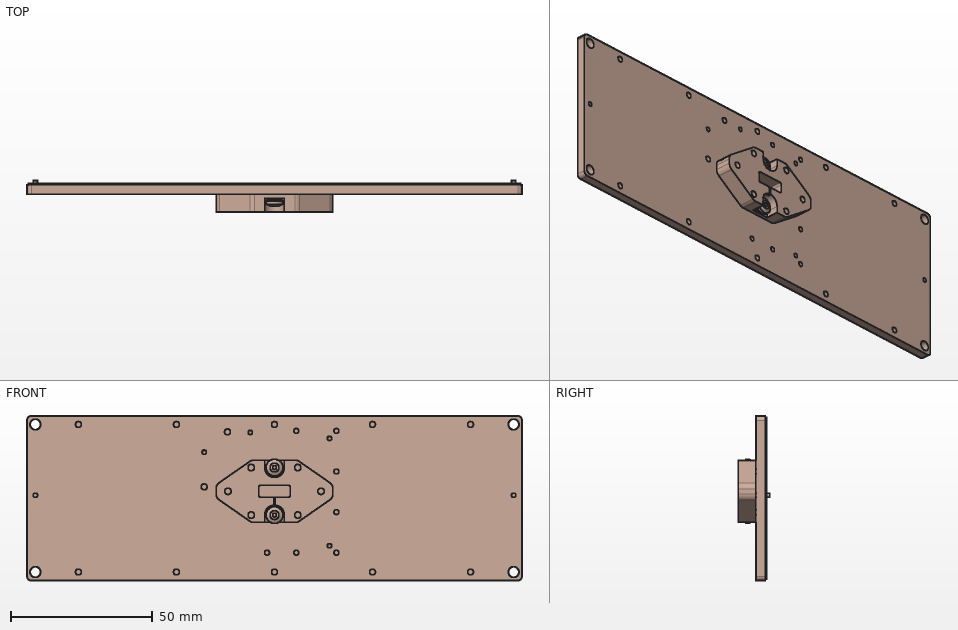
import cadquery as cq

PLATE_LENGTH = 175.3
PLATE_HEIGHT = 58.4
PLATE_THICKNESS = 3.9
PLATE_CORNER_RADIUS = 1.5
BACK_STEP = 0.5
BACK_STEP_INSET = 0.5

CORNER_HOLE_DIAMETER = 3.7
CORNER_HOLE_X = 84.7
HOLE_ROW_Z = 26.1
EDGE_HOLE_DIAMETER = 2.1
EDGE_HOLE_PITCH = 34.7
EDGE_HOLES_PER_ROW = 5
PLATE_HOLE_DEPTH = 2.6
LARGE_HOLE_DIAMETER = 2.1
LARGE_HOLES = [(-24.9, 4.0), (-16.6, 23.5)]
SMALL_HOLE_DIAMETER = 1.8
SMALL_HOLE_COLUMN_X = 21.9
SMALL_HOLE_INNER_X = 7.7
SMALL_HOLE_OUTER_X = -2.6
SMALL_HOLE_BOTTOM_Z = -19.3
SMALL_HOLE_PITCH = 14.4
SMALL_HOLES_PER_COLUMN = 4
SMALL_HOLE_COLUMN_Z = [SMALL_HOLE_BOTTOM_Z + i * SMALL_HOLE_PITCH for i in range(SMALL_HOLES_PER_COLUMN)]
SMALL_HOLES = [(SMALL_HOLE_COLUMN_X, z) for z in SMALL_HOLE_COLUMN_Z]
SMALL_HOLES += [(SMALL_HOLE_INNER_X, z) for z in (SMALL_HOLE_COLUMN_Z[0], SMALL_HOLE_COLUMN_Z[-1])]
SMALL_HOLES += [(SMALL_HOLE_OUTER_X, SMALL_HOLE_BOTTOM_Z)]
DOWEL_HOLE_DIAMETER = 1.5
DOWEL_HOLE_DEPTH = 1.8
DOWEL_HOLES = [(-24.9, 16.3), (-8.6, 23.3), (19.5, 21.2), (19.5, -16.8)]

PIN_DIAMETER = 1.5
PIN_PROJECTION = 1.0
PIN_Z = 1.0

FLANGE_CENTER_Z = 2.5
FLANGE_HEIGHT = 6.3
FLANGE_HALF_LENGTH = 20.7
FLANGE_HALF_WIDTH = 11.0
FLANGE_TOP_HALF_LENGTH = 8.0
FLANGE_END_HALF_WIDTH = 2.3
FLANGE_CORNER_RADIUS = 2.6
FLANGE_HOLE_DIAMETER = 2.3
FLANGE_HOLE_DEPTH = 4.4
FLANGE_HOLE_X = 8.2
FLANGE_END_HOLE_X = 16.5
FLANGE_HOLE_OFFSET_Z = 8.5

PORT_LENGTH = 11.2
PORT_WIDTH = 4.2
PORT_CORNER_RADIUS = 0.7
GROOVE_WIDTH = 0.7
GROOVE_DEPTH = 1.0

SLOT_WIDTH = 7.0
SLOT_FLOOR = 1.4
STUD_OFFSET_Z = 8.5
STUD_FOOT_RADIUS = 2.6
STUD_FOOT_HEIGHT = 0.5
STUD_RIM_RADIUS = 3.0
STUD_RIM_BOTTOM = 1.0
STUD_RIM_TOP = 2.1
STUD_TOP_RADIUS = 1.5
STUD_HEIGHT = 2.8
STUD_BORE_DIAMETER = 1.4
STUD_BORE_DEPTH = 1.4

SIDES = (-1, 1)


def front_plane(y, z=0.0):
    """Sketch plane at depth y that faces -Y, with sketch x along X and sketch y along Z."""
    return cq.Workplane("XZ", origin=(0, y, z))


def turn_along_y(profile):
    """Revolve a closed profile of (radius, y) points about the Y axis."""
    return cq.Workplane("XY").polyline(profile).close().revolve(360, (0, 0, 0), (0, 1, 0))


def drill(body, y, points, diameter, depth):
    """Cut round holes into the body from depth y toward +Y."""
    return body.cut(front_plane(y).pushPoints(points).circle(diameter / 2).extrude(-depth))


def make_plate():
    rim_thickness = PLATE_THICKNESS - BACK_STEP
    rim = front_plane(0).rect(PLATE_LENGTH, PLATE_HEIGHT).extrude(-rim_thickness)
    rim = rim.edges("|Y").fillet(PLATE_CORNER_RADIUS)
    inset = 2 * BACK_STEP_INSET
    step = front_plane(0).rect(PLATE_LENGTH - inset, PLATE_HEIGHT - inset).extrude(-PLATE_THICKNESS)
    step = step.edges("|Y").fillet(PLATE_CORNER_RADIUS - BACK_STEP_INSET)
    return rim.union(step)


def drill_plate(body):
    corners = [(sx * CORNER_HOLE_X, sz * HOLE_ROW_Z) for sx in SIDES for sz in SIDES]
    first = -(EDGE_HOLES_PER_ROW - 1) / 2
    edge_x = [(first + i) * EDGE_HOLE_PITCH for i in range(EDGE_HOLES_PER_ROW)]
    edge = [(x, sz * HOLE_ROW_Z) for x in edge_x for sz in SIDES]
    pins = [(sx * CORNER_HOLE_X, PIN_Z) for sx in SIDES]
    body = drill(body, 0, corners, CORNER_HOLE_DIAMETER, PLATE_THICKNESS)
    body = drill(body, 0, pins, PIN_DIAMETER, PLATE_THICKNESS)
    body = drill(body, 0, edge, EDGE_HOLE_DIAMETER, PLATE_HOLE_DEPTH)
    body = drill(body, 0, LARGE_HOLES, LARGE_HOLE_DIAMETER, PLATE_HOLE_DEPTH)
    body = drill(body, 0, SMALL_HOLES, SMALL_HOLE_DIAMETER, PLATE_HOLE_DEPTH)
    return drill_dowel_holes(body)


def drill_dowel_holes(body):
    """Blind holes with a conical drill tip at the bottom."""
    radius = DOWEL_HOLE_DIAMETER / 2
    profile = [(0, 0), (radius, 0), (radius, DOWEL_HOLE_DEPTH), (0, DOWEL_HOLE_DEPTH + radius)]
    cutter = turn_along_y(profile)
    for x, z in DOWEL_HOLES:
        body = body.cut(cutter.translate((x, 0, z)))
    return body


def make_flange():
    outline = [
        (FLANGE_HALF_LENGTH, FLANGE_END_HALF_WIDTH),
        (FLANGE_TOP_HALF_LENGTH, FLANGE_HALF_WIDTH),
        (-FLANGE_TOP_HALF_LENGTH, FLANGE_HALF_WIDTH),
        (-FLANGE_HALF_LENGTH, FLANGE_END_HALF_WIDTH),
        (-FLANGE_HALF_LENGTH, -FLANGE_END_HALF_WIDTH),
        (-FLANGE_TOP_HALF_LENGTH, -FLANGE_HALF_WIDTH),
        (FLANGE_TOP_HALF_LENGTH, -FLANGE_HALF_WIDTH),
        (FLANGE_HALF_LENGTH, -FLANGE_END_HALF_WIDTH),
    ]
    flange = front_plane(0, FLANGE_CENTER_Z).polyline(outline).close().extrude(FLANGE_HEIGHT)
    return flange.edges("|Y").fillet(FLANGE_CORNER_RADIUS)


def drill_flange(body):
    points = []
    for sx in SIDES:
        points.append((sx * FLANGE_END_HOLE_X, FLANGE_CENTER_Z))
        points += [(sx * FLANGE_HOLE_X, FLANGE_CENTER_Z + sz * FLANGE_HOLE_OFFSET_Z) for sz in SIDES]
    return drill(body, -FLANGE_HEIGHT, points, FLANGE_HOLE_DIAMETER, FLANGE_HOLE_DEPTH)


def cut_port(body):
    port = front_plane(-FLANGE_HEIGHT, FLANGE_CENTER_Z).rect(PORT_LENGTH, PORT_WIDTH).extrude(-FLANGE_HEIGHT)
    port = port.edges("|Y").fillet(PORT_CORNER_RADIUS)
    groove = (
        front_plane(-FLANGE_HEIGHT, FLANGE_CENTER_Z - STUD_OFFSET_Z / 2)
        .rect(GROOVE_WIDTH, STUD_OFFSET_Z)
        .extrude(-GROOVE_DEPTH)
    )
    return body.cut(port).cut(groove)


def cut_stud_slots(body):
    depth = FLANGE_HEIGHT - SLOT_FLOOR
    for side in SIDES:
        plane = front_plane(-FLANGE_HEIGHT, FLANGE_CENTER_Z + side * STUD_OFFSET_Z)
        round_end = plane.circle(SLOT_WIDTH / 2).extrude(-depth)
        opening = plane.center(0, side * SLOT_WIDTH / 2).rect(SLOT_WIDTH, SLOT_WIDTH).extrude(-depth)
        body = body.cut(round_end).cut(opening)
    return body


def make_base():
    body = drill_plate(make_plate()).union(make_flange())
    body = drill_flange(body)
    return cut_stud_slots(cut_port(body))


def make_pin(side):
    pin = front_plane(0).center(side * CORNER_HOLE_X, PIN_Z).circle(PIN_DIAMETER / 2)
    return pin.extrude(-(PLATE_THICKNESS + PIN_PROJECTION))


def make_stud(side):
    """Turned along Y, with a narrow foot, a full rim, a conical top and a small centre bore."""
    bore_radius = STUD_BORE_DIAMETER / 2
    bore_bottom = STUD_HEIGHT - STUD_BORE_DEPTH
    profile = [
        (0, 0),
        (STUD_FOOT_RADIUS, 0),
        (STUD_FOOT_RADIUS, -STUD_FOOT_HEIGHT),
        (STUD_RIM_RADIUS, -STUD_RIM_BOTTOM),
        (STUD_RIM_RADIUS, -STUD_RIM_TOP),
        (STUD_TOP_RADIUS, -STUD_HEIGHT),
        (bore_radius, -STUD_HEIGHT),
        (bore_radius, -bore_bottom),
        (0, -bore_bottom),
    ]
    stud = turn_along_y(profile)
    return stud.translate((0, -SLOT_FLOOR, FLANGE_CENTER_Z + side * STUD_OFFSET_Z))


base = make_base()
pins = [make_pin(side) for side in SIDES]
studs = [make_stud(side) for side in SIDES]

result = cq.Compound.makeCompound([base.val(), *[pin.val() for pin in pins], *[stud.val() for stud in studs]])